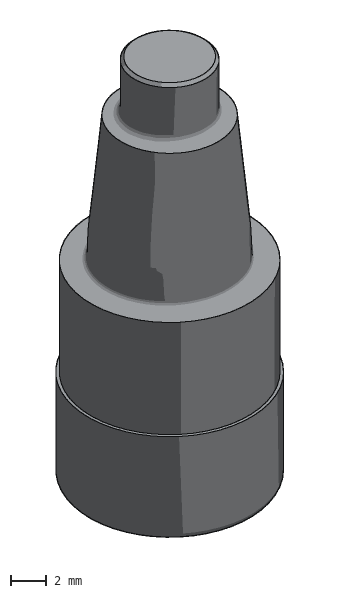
import cadquery as cq
import math

base_diameter = 12.7
base_height = 7.01
base_edge_radius = 0.4

total_height = 28.4
collar_radius = 12.3 / 2
collar_top_z = 14.63
neck_foot_radius = 4.6
neck_foot_fillet = 0.35
neck_arc_top_z = 17.1
neck_top_z = 24.45
neck_top_radius = 3.78
tip_radius = 5.5 / 2
tip_fillet = 0.5
tip_chamfer = 0.2

neck_arc_bottom_z = collar_top_z + neck_foot_fillet
neck_arc_height = neck_arc_top_z - neck_arc_bottom_z
neck_equivalent_height = neck_top_z - neck_arc_top_z + neck_arc_height / 2
neck_angle = math.atan((neck_foot_radius - neck_top_radius) / neck_equivalent_height)
neck_arc_radius = neck_arc_height / math.sin(neck_angle)
neck_arc_top_radius = neck_foot_radius - neck_arc_radius * (1 - math.cos(neck_angle))


def make_base():
    """Round base with a filleted bottom rim."""
    disc = cq.Workplane("XY").circle(base_diameter / 2).extrude(base_height)
    return disc.faces("<Z").edges().fillet(base_edge_radius)


def make_stem():
    """Stem revolved from a half profile (radius, z), standing on the base."""
    profile = (
        cq.Workplane("XZ")
        .moveTo(0, base_height)
        .lineTo(collar_radius, base_height)
        .lineTo(collar_radius, collar_top_z)
        .lineTo(neck_foot_radius + neck_foot_fillet, collar_top_z)
        .radiusArc((neck_foot_radius, neck_arc_bottom_z), neck_foot_fillet)
        .tangentArcPoint((neck_arc_top_radius, neck_arc_top_z), relative=False)
        .lineTo(neck_top_radius, neck_top_z)
        .lineTo(tip_radius + tip_fillet, neck_top_z)
        .radiusArc((tip_radius, neck_top_z + tip_fillet), tip_fillet)
        .lineTo(tip_radius, total_height - tip_chamfer)
        .lineTo(tip_radius - tip_chamfer, total_height)
        .lineTo(0, total_height)
        .close()
    )
    return profile.revolve(360, (0, 0, 0), (0, 1, 0))


base = make_base()
stem = make_stem()

result = cq.Compound.makeCompound([base.val(), stem.val()])